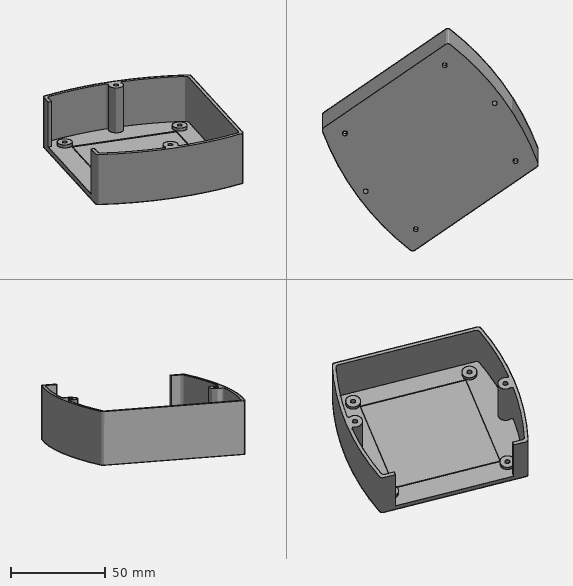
import cadquery as cq
import math

length = 94.2
width = 83.4
height = 29.0
end_length = 82.3
corner_radius = 2.0

wall = 2.0
floor = 3.0
inner_corner_radius = 2.0
opening_length = 66.0

recess_side = 59.0
recess_depth = 0.5

boss_diameter = 8.0
hole_diameter = 2.5
low_boss_height = 1.8
low_boss_spacing = 65.0
pillar_spacing = 84.0
pillar_blend_radius = 1.0

bulge = (length - end_length) / 2
side_radius = ((width / 2) ** 2 + bulge ** 2) / (2 * bulge)
side_center = length / 2 - side_radius


def bowed_prism(inset, depth):
    """Prism with straight front and back and bowed sides, inset evenly."""
    half_y = width / 2 - inset
    radius = side_radius - inset
    mid_x = length / 2 - inset
    end_x = side_center + math.sqrt(radius ** 2 - half_y ** 2)
    return (
        cq.Workplane("XY")
        .moveTo(-end_x, -half_y)
        .lineTo(end_x, -half_y)
        .threePointArc((mid_x, 0), (end_x, half_y))
        .lineTo(-end_x, half_y)
        .threePointArc((-mid_x, 0), (-end_x, -half_y))
        .close()
        .extrude(depth)
    )


def cylinders(points, diameter, bottom, top):
    """Upright cylinders between two heights."""
    return (
        cq.Workplane("XY")
        .workplane(offset=bottom)
        .pushPoints(points)
        .circle(diameter / 2)
        .extrude(top - bottom)
    )


pillar_points = [(side * pillar_spacing / 2, 0) for side in (-1, 1)]
low_boss_points = [
    (x_side * low_boss_spacing / 2, y_side * low_boss_spacing / 2)
    for x_side in (-1, 1)
    for y_side in (-1, 1)
]

cavity = bowed_prism(wall, height - floor).edges("|Z").fillet(inner_corner_radius)
cavity = cavity.cut(cylinders(pillar_points, boss_diameter, 0, height))
blend_zone = cq.selectors.BoxSelector(
    (-length, -boss_diameter, -height), (length, boss_diameter, height)
)
notch_edges = cavity.edges("|Z").edges(blend_zone)
cavity = notch_edges.fillet(pillar_blend_radius).translate((0, 0, floor))

shell = bowed_prism(0, height).edges("|Z").fillet(corner_radius).cut(cavity)

opening = cq.Workplane("XY").box(
    opening_length, wall, height - floor, centered=(True, False, False)
).translate((0, -width / 2, floor))

recess = cq.Workplane("XY").box(
    recess_side, recess_side, recess_depth, centered=(True, True, False)
).translate((0, 0, floor - recess_depth))

low_bosses = cylinders(low_boss_points, boss_diameter, floor / 2, floor + low_boss_height)
holes = cylinders(pillar_points + low_boss_points, hole_diameter, 0, height)

result = shell.cut(opening).cut(recess).union(low_bosses).cut(holes)